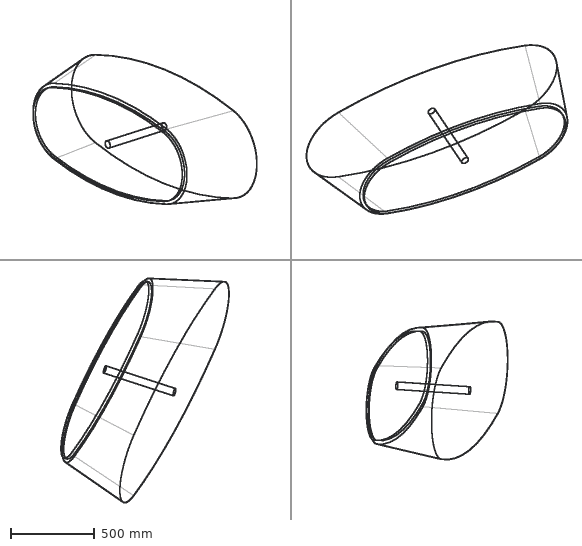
import cadquery as cq
import math

rim_length = 1680.0
rim_width = 738.0
total_height = 455.0

foot_length = 1395.0
foot_width = 622.0

rim_end_radius = 294.0
foot_end_radius = 252.0

plinth_height = 18.0
plinth_inset = 22.0
drain_diameter = 45.0

rim_y = total_height / 2
base_y = -total_height / 2
foot_y = base_y + plinth_height
body_height = rim_y - foot_y


def oval_outline(plane, length, width, end_radius):
    """Oval of two shallow side arcs tangent to two tighter end arcs."""
    half_length = length / 2
    half_width = width / 2
    end_center = half_length - end_radius
    side_radius = (end_center**2 + half_width**2 - end_radius**2) / (2 * (half_width - end_radius))
    angle = math.atan2(side_radius - half_width, end_center)
    join_x = end_center + end_radius * math.cos(angle)
    join_z = end_radius * math.sin(angle)
    return (
        plane.moveTo(-join_x, join_z)
        .threePointArc((0, half_width), (join_x, join_z))
        .threePointArc((half_length, 0), (join_x, -join_z))
        .threePointArc((0, -half_width), (-join_x, -join_z))
        .threePointArc((-half_length, 0), (-join_x, join_z))
        .close()
    )


def xz_plane_at(y):
    """Sketch plane at height y, with its normal along -Y."""
    return cq.Workplane("XZ", origin=(0, y, 0))


rim = oval_outline(xz_plane_at(rim_y), rim_length, rim_width, rim_end_radius)
body = oval_outline(
    rim.workplane(offset=body_height), foot_length, foot_width, foot_end_radius
).loft(ruled=True, combine=True)

plinth = oval_outline(
    xz_plane_at(foot_y),
    foot_length - 2 * plinth_inset,
    foot_width - 2 * plinth_inset,
    foot_end_radius - plinth_inset,
).extrude(plinth_height)

drain = xz_plane_at(rim_y).circle(drain_diameter / 2).extrude(total_height)

result = body.union(plinth).cut(drain)